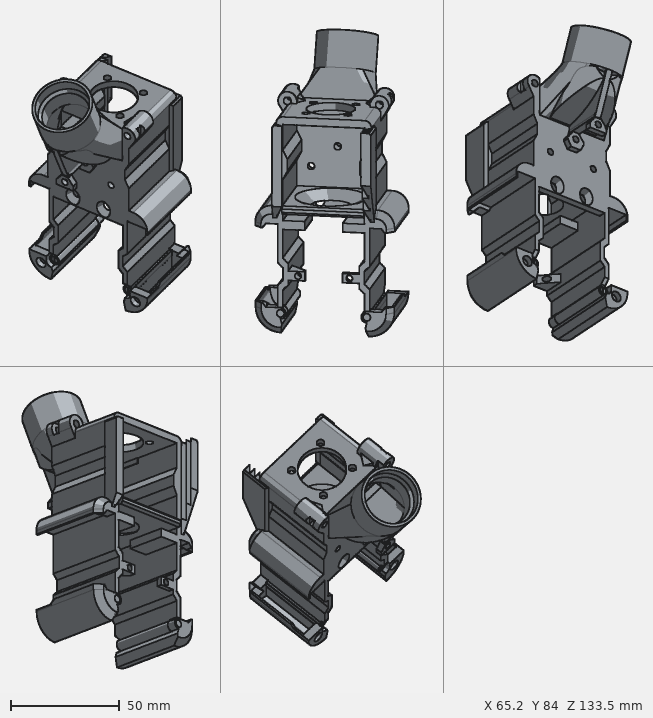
import cadquery as cq
import math

DEPTH = 40.0
TOP_Z = 103.5
SKIRT_Z = 50.0
SHOULDER_FLOOR = 53.6
PLATE = 3.6
UPPER_OUT = 22.3
LOWER_OUT = 21.5
INNER = 19.1
LOWER_JOG = 2.5
UPPER_JOG = 2.2
TOP_ROUND = UPPER_OUT - INNER
SHELL_BACK_CHAMFER = 3.3


def prism_y(points, y0, y1):
    """Extrude an outline of (x, z) points from y0 to y1."""
    return cq.Workplane("XZ", origin=(0, y0, 0)).polyline(points).close().extrude(y0 - y1)


def prism_x(points, x0, x1):
    """Extrude an outline of (y, z) points from x0 to x1."""
    return cq.Workplane("YZ", origin=(x0, 0, 0)).polyline(points).close().extrude(x1 - x0)


def prism_z(points, z0, z1):
    """Extrude an outline of (x, y) points from z0 to z1."""
    return cq.Workplane("XY", origin=(0, 0, z0)).polyline(points).close().extrude(z1 - z0)


def box(x0, x1, y0, y1, z0, z1):
    """Box between opposite corners."""
    return cq.Workplane("XY").box(x1 - x0, y1 - y0, z1 - z0, centered=False).translate((x0, y0, z0))


def rod_y(x, z, diameter, y0, y1):
    """Cylinder along Y."""
    return cq.Workplane("XZ", origin=(x, y0, z)).circle(diameter / 2).extrude(y0 - y1)


def mirrored(body):
    """Copy of a body on the opposite side in X."""
    return body.mirror("YZ")


LOWER_JOG_Z = 28.7
LOWER_FLAT_OUT, LOWER_FLAT_IN = 2.9, 5.2
LOWER_RUN = 2.5
UPPER_JOG_Z = 80.7
UPPER_FLAT = 2.75
UPPER_RUN = 4.3
HINGE_X, HINGE_Z = -20.2, 10.0
KNUCKLE_DIA = 5.2
PIN_DIA = 3.5
KNUCKLE_FRONT = 2.6
KNUCKLE_BACK = 35.5
DOOR_TOP_Z = 12.7
WALL_FOOT_Z = 12.9


def jogged_wall(out_x, jog, z0, z1, jog_z, outer_half, inner_half, run):
    """Wall strip; outer_half and inner_half are half heights of the flat of the jog on each face."""
    outer = [
        (-out_x, z0), (-out_x, jog_z - outer_half - run), (-out_x + jog, jog_z - outer_half),
        (-out_x + jog, jog_z + outer_half), (-out_x, jog_z + outer_half + run), (-out_x, z1),
    ]
    inner = [
        (-INNER, z1), (-INNER, jog_z + inner_half + run), (-INNER + jog, jog_z + inner_half),
        (-INNER + jog, jog_z - inner_half), (-INNER, jog_z - inner_half - run), (-INNER, z0),
    ]
    return prism_y(outer + inner, 0, DEPTH)


def lower_wall():
    wall = jogged_wall(LOWER_OUT, LOWER_JOG, WALL_FOOT_Z, SHOULDER_FLOOR, LOWER_JOG_Z,
                       LOWER_FLAT_OUT, LOWER_FLAT_IN, LOWER_RUN)
    nose = prism_x([(0, WALL_FOOT_Z), (KNUCKLE_FRONT, WALL_FOOT_Z), (0, WALL_FOOT_Z + KNUCKLE_FRONT)],
                   -LOWER_OUT, -INNER)
    return wall.cut(nose)


def knuckle():
    """Hinge barrel under the lower wall, with the web that carries it."""
    barrel = rod_y(HINGE_X, HINGE_Z, KNUCKLE_DIA, KNUCKLE_FRONT, KNUCKLE_BACK)
    web = box(-LOWER_OUT, -INNER, KNUCKLE_FRONT, KNUCKLE_BACK, HINGE_Z, WALL_FOOT_Z)
    return barrel.union(web)


def upper_wall():
    return jogged_wall(UPPER_OUT, UPPER_JOG, SHOULDER_FLOOR, TOP_Z, UPPER_JOG_Z,
                       UPPER_FLAT, UPPER_FLAT, UPPER_RUN)


SHELL_OUT = 32.6
LIP = 1.0
SHOULDER_R = 8.0
SHOULDER_TOP = 60.3
SHOULDER_LIP_Z = 50.4
LOCK_Y = 33.0
LOCK_INNER_X = 27.0
LOCK_BEVEL = 1.6
LOCK_STEP = 1.2


def shoulder():
    profile = (
        cq.Workplane("XZ").moveTo(-INNER, SHOULDER_LIP_Z).lineTo(-SHELL_OUT, SHOULDER_LIP_Z)
        .lineTo(-SHELL_OUT, SHOULDER_TOP - SHOULDER_R)
        .radiusArc((-SHELL_OUT + SHOULDER_R, SHOULDER_TOP), SHOULDER_R)
        .lineTo(-INNER, SHOULDER_TOP).close().extrude(-DEPTH)
    )
    back_rim = cq.selectors.BoxSelector((-SHELL_OUT - 1, DEPTH - 1, SHOULDER_LIP_Z + 1),
                                        (-SHELL_OUT + SHOULDER_R / 2, DEPTH + 1, SHOULDER_TOP))
    shell = profile.edges(back_rim).chamfer(SHELL_BACK_CHAMFER)
    underside = box(-SHELL_OUT + LIP, -LOWER_OUT, 0, DEPTH, SHOULDER_LIP_Z - 1, SHOULDER_FLOOR)
    lock = prism_y(
        [(-SHELL_OUT + LIP, SHOULDER_FLOOR), (-LOWER_OUT, SHOULDER_FLOOR),
         (-LOWER_OUT, SHOULDER_FLOOR - LOCK_STEP), (-LOCK_INNER_X, SHOULDER_FLOOR - LOCK_STEP),
         (-LOCK_INNER_X - LOCK_BEVEL, SHOULDER_LIP_Z), (-SHELL_OUT + LIP, SHOULDER_LIP_Z)], LOCK_Y, DEPTH)
    slope = prism_x([(LOCK_Y, SHOULDER_FLOOR), (DEPTH, SHOULDER_FLOOR), (DEPTH, SHOULDER_LIP_Z),
                     (DEPTH - SHELL_BACK_CHAMFER, SHOULDER_LIP_Z)], -SHELL_OUT, 0)
    return shell.cut(underside.cut(lock.intersect(slope)))


EAR_X, EAR_Z = -21.5, 104.6
EAR_R = 4.4
EAR_DEPTH = 15.0
EAR_HOLE = 3.5
EAR_INNER_X = -18.7
EAR_FOOT_Z = 97.3
NECK_ANGLE = 202
NUT_Y0, NUT_Y1 = 3.5, 6.6
NUT_WIDTH = 6.1
NUT_BEVEL = 1.2
GUSSET_REACH = 4.5
GUSSET_PEAK_Y = 8.5
GUSSET_HEIGHT = 3.5


def ear():
    round_part = rod_y(EAR_X, EAR_Z, 2 * EAR_R, 0, EAR_DEPTH)
    neck_angle = math.radians(NECK_ANGLE)
    neck = prism_y(
        [(EAR_X + EAR_R * math.cos(neck_angle), EAR_Z + EAR_R * math.sin(neck_angle)), (EAR_X, EAR_Z),
         (EAR_INNER_X, EAR_Z), (EAR_INNER_X, EAR_FOOT_Z), (-UPPER_OUT, EAR_FOOT_Z)], 0, EAR_DEPTH)
    beyond = box(EAR_INNER_X, EAR_INNER_X + EAR_R, 0, PLATE, EAR_FOOT_Z, EAR_Z + EAR_R)
    gusset = prism_y([(EAR_INNER_X, TOP_Z), (EAR_INNER_X + GUSSET_REACH, TOP_Z),
                      (EAR_INNER_X, TOP_Z + GUSSET_HEIGHT)], 0, EAR_DEPTH)
    plan = prism_z([(EAR_INNER_X, PLATE), (EAR_INNER_X + GUSSET_REACH, GUSSET_PEAK_Y),
                    (EAR_INNER_X, EAR_DEPTH)], TOP_Z, TOP_Z + GUSSET_HEIGHT)
    return round_part.union(neck).cut(beyond).union(gusset.intersect(plan))


def ear_cuts():
    hole = rod_y(EAR_X, EAR_Z, EAR_HOLE, 0, EAR_DEPTH)
    mouth_x = EAR_X - EAR_R
    low, high = EAR_Z - NUT_WIDTH / 2, EAR_Z + NUT_WIDTH / 2
    nut_corner = NUT_WIDTH / math.sqrt(3)
    slot = prism_y([(mouth_x, low), (EAR_X + nut_corner / 2, low), (EAR_X + nut_corner, EAR_Z),
                    (EAR_X + nut_corner / 2, high), (mouth_x, high)], NUT_Y0, NUT_Y1)
    bevel = prism_z([(mouth_x, NUT_Y1), (mouth_x + NUT_BEVEL, NUT_Y1), (mouth_x, NUT_Y1 + NUT_BEVEL)],
                    low, high)
    return hole.union(slot).union(bevel)


WING_OUT = 23.7
WING_START = 34.1
WING_TOP = 99.8
WING_FOOT_Y, WING_FOOT_Z = DEPTH, 55.4
LEFT_WING_BACK = 49.0
RIGHT_WING_BACK = 42.8
WING_KNEE_Z = 74.8
WING_SLOPE = (WING_KNEE_Z - WING_FOOT_Z) / (LEFT_WING_BACK - WING_FOOT_Y)
TOOTH_PITCH = 3.1
LEFT_TEETH, RIGHT_TEETH = 3, 1
WING_TOP_BEVEL = 0.9


def wing(back_y, teeth):
    """Plate on the -X side reaching back past the wall, with sawteeth on its inner face."""
    start_rise = WING_OUT - UPPER_OUT
    plan = prism_z([(-INNER, WING_START), (-UPPER_OUT, WING_START), (-WING_OUT, WING_START + start_rise),
                    (-WING_OUT, back_y), (-UPPER_OUT, back_y), (-UPPER_OUT, DEPTH), (-INNER, DEPTH)],
                   WING_FOOT_Z, WING_TOP)
    for i in range(teeth):
        tip_y = back_y - i * TOOTH_PITCH
        plan = plan.union(prism_z([(-UPPER_OUT, tip_y), (-INNER, tip_y), (-UPPER_OUT, tip_y - TOOTH_PITCH)],
                                  WING_FOOT_Z, WING_TOP))
    side = prism_x([(WING_START, WING_FOOT_Z), (WING_FOOT_Y, WING_FOOT_Z),
                    (back_y, WING_FOOT_Z + WING_SLOPE * (back_y - WING_FOOT_Y)),
                    (back_y, WING_TOP), (WING_START, WING_TOP)], -WING_OUT, 0)
    bevel = prism_y([(-WING_OUT, WING_TOP), (-WING_OUT, WING_TOP - WING_TOP_BEVEL),
                     (-WING_OUT + WING_TOP_BEVEL, WING_TOP)], 0, back_y)
    return plan.intersect(side).cut(bevel)


TILT = math.radians(22.5)
SOCKET_OUT, SOCKET_BORE, SOCKET_STEP = 28.5, 25.5, 22.5
SOCKET_LENGTH = 17.5
SOCKET_BORE_DEPTH = 6.3
SOCKET_BASE = cq.Vector(0, -15.13, 111.87)
SOCKET_AXIS = cq.Vector(0, -math.sin(TILT), math.cos(TILT))
SOCKET_SIDE = cq.Vector(0, -math.cos(TILT), -math.sin(TILT))
MOUTH_HALF = 18.7
MOUTH_LOW_Z = 88.6
BELLY_DIA = 28.0
BELLY_MIDDLE = (-16.5, 94.6)
BELLY_DROP = 4.3
DUCT_WALL = 1.6


def socket_rod(diameter, start, length):
    base = SOCKET_BASE + SOCKET_AXIS * start
    return cq.Workplane(obj=cq.Solid.makeCylinder(diameter / 2, length, base, SOCKET_AXIS))


def socket_wire(diameter):
    """Circle at the socket base as four arcs, one for each side of the mouth."""
    def point(angle):
        a = math.radians(angle)
        return SOCKET_BASE + cq.Vector(1, 0, 0) * (diameter / 2 * math.cos(a)) \
            + SOCKET_SIDE * (diameter / 2 * math.sin(a))
    arcs = [cq.Edge.makeThreePointArc(point(a), point(a + 45), point(a + 90)) for a in (45, 135, 225, 315)]
    return cq.Wire.assembleEdges(arcs)


def duct_loft(diameter, half, low, high):
    """Duct from the socket to a mouth whose lower and upper edges lie at (y, z) = low and high."""
    corners = [cq.Vector(half, *low), cq.Vector(-half, *low), cq.Vector(-half, *high), cq.Vector(half, *high)]
    mouth = cq.Wire.makePolygon(corners, close=True)
    return cq.Workplane(obj=cq.Solid.makeLoft([mouth, socket_wire(diameter)], True))


LUG_HOLE_Z = 81.0
LUG_HOLE = 3.25
LUG_HALF = 4.7
LUG_TOP_Z = 84.6
LUG_SHOULDER_Z = 80.6
LUG_FOOT_Z = 77.8
WALL_LUG_SIDE_Z = 79.7
WALL_LUG_FOOT_Z = 76.2
WALL_LUG_FOOT_HALF = 2.7
LUG_THICK = 3.0
WEB_HALF = 1.6
LUG_FRONT = -19.8
FLANGE_HALF = 2.1
FLANGE_TOP_Z = 86.7


def lug(y0, y1, foot):
    half = [(WEB_HALF, LUG_TOP_Z), (LUG_HALF, LUG_SHOULDER_Z)] + foot
    return prism_y(half + [(-x, z) for x, z in reversed(half)], y0, y1)


def belly():
    """Rounded underside that runs from the mouth to the socket."""
    tip = SOCKET_BASE + SOCKET_SIDE * (BELLY_DIA / 2) - SOCKET_AXIS * BELLY_DROP
    side = (
        cq.Workplane("YZ", origin=(-MOUTH_HALF, 0, 0)).moveTo(0, MOUTH_LOW_Z + 0.3)
        .threePointArc(BELLY_MIDDLE, (tip.y, tip.z)).lineTo(tip.y, SOCKET_BASE.z)
        .lineTo(0, SOCKET_BASE.z).close().extrude(2 * MOUTH_HALF)
    )
    reach = 2 * SOCKET_OUT
    return socket_rod(BELLY_DIA, -reach, reach).intersect(side)


def duct_outside():
    tube = duct_loft(SOCKET_OUT, MOUTH_HALF, (0, MOUTH_LOW_Z), (PLATE, TOP_Z))
    underside = SOCKET_BASE + SOCKET_SIDE * (SOCKET_OUT / 2)
    web_tip_y = underside.y + (underside.z - LUG_TOP_Z) * math.tan(TILT)
    web = prism_x([(0, LUG_TOP_Z), (web_tip_y, LUG_TOP_Z), (underside.y, underside.z),
                   (SOCKET_BASE.y, SOCKET_BASE.z), (0, MOUTH_LOW_Z + 1)],
                  -WEB_HALF, WEB_HALF)
    wall_lug = lug(-LUG_THICK, 0, [(LUG_HALF, WALL_LUG_SIDE_Z), (WALL_LUG_FOOT_HALF, WALL_LUG_FOOT_Z)])
    end_lug = lug(LUG_FRONT, LUG_FRONT + LUG_THICK, [(LUG_HALF, LUG_FOOT_Z)])
    flange = prism_y([(WEB_HALF, FLANGE_TOP_Z), (FLANGE_HALF, LUG_TOP_Z), (-FLANGE_HALF, LUG_TOP_Z),
                      (-WEB_HALF, FLANGE_TOP_Z)], web_tip_y, 0)
    duct = tube.union(socket_rod(SOCKET_OUT, 0, SOCKET_LENGTH)).union(belly())
    for piece in (web, flange, wall_lug, end_lug):
        duct = duct.union(piece)
    return duct


def duct_inside():
    low_z = MOUTH_LOW_Z + DUCT_WALL
    high_z = TOP_Z - PLATE
    channel = duct_loft(SOCKET_STEP, MOUTH_HALF - DUCT_WALL, (0, low_z), (PLATE, high_z))
    opening = prism_x([(0, low_z), (PLATE, high_z), (PLATE + 1, high_z), (PLATE + 1, low_z)],
                      -MOUTH_HALF + DUCT_WALL, MOUTH_HALF - DUCT_WALL)
    bore = socket_rod(SOCKET_BORE, SOCKET_LENGTH - SOCKET_BORE_DEPTH, SOCKET_BORE_DEPTH)
    seat_height = (SOCKET_BORE - SOCKET_STEP) / 2
    seat_base = SOCKET_BASE + SOCKET_AXIS * (SOCKET_LENGTH - SOCKET_BORE_DEPTH - seat_height)
    seat = cq.Solid.makeCone(SOCKET_STEP / 2, SOCKET_BORE / 2, seat_height, seat_base, SOCKET_AXIS)
    throat = socket_rod(SOCKET_STEP, 0, SOCKET_LENGTH)
    return channel.union(opening).union(throat).union(cq.Workplane(obj=seat)).union(bore)


def mouth_clearance():
    """Front plate material in front of the slanted duct mouth."""
    return prism_x([(0, MOUTH_LOW_Z), (PLATE, TOP_Z), (0, TOP_Z)], -MOUTH_HALF, MOUTH_HALF)


BORE_Y = 21.4
TOP_BORE = 22.5
TOP_SCREW = 3.5
TOP_SCREW_SPACING = 19.8
FRONT_SCREW_X, FRONT_SCREW_Z, FRONT_SCREW = 12.5, 71.1, 3.2
PORT_X, PORT_Z = 8.4, 54.8
PORT_FRONT = (3.7, 4.4)
PORT_BACK = (2.2, 2.6)
FUNNEL_LOW_Z, FUNNEL_TOP_Z = 57.5, 61.5
FUNNEL_BORE, FUNNEL_MOUTH = 18.5, 33.0
FUNNEL_BACK = 42.4
RAIL_INNER, RAIL_TOP_Z = 8.9, 54.2


def top_holes():
    holes = cq.Workplane("XY", origin=(0, BORE_Y, TOP_Z - PLATE)).circle(TOP_BORE / 2).extrude(PLATE)
    screws = (
        cq.Workplane("XY", origin=(0, BORE_Y, TOP_Z - PLATE))
        .rect(TOP_SCREW_SPACING, TOP_SCREW_SPACING, forConstruction=True).vertices()
        .circle(TOP_SCREW / 2).extrude(PLATE)
    )
    return holes.union(screws)


def port(x):
    """Tapered oval opening through the front plate."""
    return (
        cq.Workplane("XZ", origin=(x, 0, PORT_Z)).ellipse(*PORT_FRONT)
        .workplane(offset=-PLATE).ellipse(*PORT_BACK).loft()
    )


def funnel():
    """Shelf between the side walls with a conical opening under the top bore."""
    shelf = box(-INNER, INNER, PLATE, FUNNEL_BACK, FUNNEL_LOW_Z, FUNNEL_TOP_Z)
    bevel = FUNNEL_BACK - DEPTH
    shelf = shelf.edges(">Y and |X").chamfer(bevel / 2)
    cone = cq.Solid.makeCone(FUNNEL_BORE / 2, FUNNEL_MOUTH / 2, FUNNEL_TOP_Z - FUNNEL_LOW_Z,
                             cq.Vector(0, BORE_Y, FUNNEL_LOW_Z))
    return shelf.cut(cq.Workplane(obj=cone))


TAB_TIP = 8.8
TAB_ROOT = INNER - LOWER_JOG
TAB_LOW_Z, TAB_HIGH_Z = 25.9, 30.3
TAB_MIDDLE_Z = (TAB_LOW_Z + TAB_HIGH_Z) / 2
TAB_THICK = 2.5
TAB_SLANT = 8.0
TAB_HOLE_X, TAB_HOLE = 12.0, 2.9


def left_tab():
    tab = box(-TAB_ROOT, -TAB_TIP, DEPTH - TAB_THICK, DEPTH, TAB_LOW_Z, TAB_HIGH_Z)
    return tab.cut(rod_y(-TAB_HOLE_X, TAB_MIDDLE_Z, TAB_HOLE, 0, DEPTH))


def right_tab():
    """Triangular bracket whose front face slants back toward its tip."""
    tab = prism_z([(TAB_ROOT, DEPTH), (TAB_TIP, DEPTH), (TAB_TIP, DEPTH - TAB_THICK),
                   (TAB_ROOT, DEPTH - TAB_THICK - TAB_SLANT)], TAB_LOW_Z, TAB_HIGH_Z)
    return tab.cut(rod_y(TAB_HOLE_X, TAB_MIDDLE_Z, TAB_HOLE, 0, DEPTH))


def build_housing():
    body = box(-INNER, INNER, 0, PLATE, SKIRT_Z, TOP_Z)
    body = body.union(box(-UPPER_OUT, UPPER_OUT, 0, DEPTH, TOP_Z - PLATE, TOP_Z))
    for wall in (upper_wall(), lower_wall()):
        body = body.union(wall).union(mirrored(wall))
    body = body.edges("|Y and >Z").edges("<X or >X").fillet(TOP_ROUND)
    body = body.cut(mouth_clearance())
    rail = box(-INNER, -RAIL_INNER, DEPTH / 2, DEPTH, SKIRT_Z, RAIL_TOP_Z)
    for piece in (shoulder(), ear(), knuckle(), rail):
        body = body.union(piece).union(mirrored(piece))
    body = body.union(wing(LEFT_WING_BACK, LEFT_TEETH)).union(mirrored(wing(RIGHT_WING_BACK, RIGHT_TEETH)))
    body = body.union(funnel()).union(left_tab()).union(right_tab())
    body = body.union(duct_outside()).cut(duct_inside())
    body = body.cut(rod_y(0, LUG_HOLE_Z, LUG_HOLE, LUG_FRONT, PLATE)).cut(top_holes())
    hinge_hole = rod_y(HINGE_X, HINGE_Z, PIN_DIA, 0, DEPTH)
    for hole in (ear_cuts(), hinge_hole, port(-PORT_X),
                 rod_y(-FRONT_SCREW_X, FRONT_SCREW_Z, FRONT_SCREW, 0, PLATE)):
        body = body.cut(hole).cut(mirrored(hole))
    return body


DOOR_R = 12.0
DOOR_CENTRE_X, DOOR_CENTRE_Z = -20.5, 12.0
DOOR_OUT = DOOR_CENTRE_X - DOOR_R
DOOR_INNER_CORNER = (-19.5, 4.9)
DOOR_LIP_Z = 14.7
DOOR_LIP_START = 11.0
DOOR_HOLE_X, DOOR_HOLE_Z, DOOR_HOLE, DOOR_HOLE_DEPTH = -25.9, 7.6, 5.2, 3.0
POCKET_FRONT, POCKET_BACK, POCKET_INNER_X = 4.0, 35.0, -23.0
HINGE_GAP = 0.15


def build_door():
    arc_end = (DOOR_CENTRE_X, DOOR_CENTRE_Z - DOOR_R)
    blank = (
        cq.Workplane("XZ").moveTo(HINGE_X, DOOR_TOP_Z).lineTo(DOOR_OUT, DOOR_TOP_Z)
        .lineTo(DOOR_OUT, DOOR_CENTRE_Z).radiusArc(arc_end, -DOOR_R)
        .lineTo(*DOOR_INNER_CORNER).lineTo(HINGE_X, HINGE_Z - KNUCKLE_DIA / 2).close().extrude(-DEPTH)
    )
    back_rim = cq.selectors.BoxSelector((DOOR_OUT - 1, DEPTH - 1, -1),
                                        (DOOR_CENTRE_X - DOOR_R / 5, DEPTH + 1, DOOR_TOP_Z - 0.1))
    door = blank.edges(back_rim).chamfer(SHELL_BACK_CHAMFER)
    door = door.union(rod_y(HINGE_X, HINGE_Z, KNUCKLE_DIA, KNUCKLE_BACK, DEPTH))
    rise = DOOR_LIP_Z - DOOR_TOP_Z
    lip = prism_x([(DOOR_LIP_START - rise, DOOR_TOP_Z), (DOOR_LIP_START, DOOR_LIP_Z),
                   (DEPTH - SHELL_BACK_CHAMFER, DOOR_LIP_Z), (DEPTH - SHELL_BACK_CHAMFER, DOOR_TOP_Z)],
                  DOOR_OUT, DOOR_OUT + LIP)
    lock = prism_y([(DOOR_OUT, DOOR_TOP_Z), (DOOR_OUT, DOOR_LIP_Z), (-LOCK_INNER_X - LOCK_BEVEL, DOOR_LIP_Z),
                    (-LOCK_INNER_X, DOOR_TOP_Z)], LOCK_Y, DEPTH)
    lock_slope = prism_x([(LOCK_Y, DOOR_TOP_Z), (DEPTH - SHELL_BACK_CHAMFER, DOOR_LIP_Z), (DEPTH, DOOR_LIP_Z),
                          (DEPTH, DOOR_TOP_Z)], DOOR_OUT, 0)
    lock_plan = prism_z([(DOOR_OUT, 0), (0, 0), (0, DEPTH), (DOOR_OUT + SHELL_BACK_CHAMFER, DEPTH),
                         (DOOR_OUT, DEPTH - SHELL_BACK_CHAMFER)], DOOR_TOP_Z, DOOR_LIP_Z)
    door = door.union(lip).union(lock.intersect(lock_slope).intersect(lock_plan))
    inside = cq.Workplane("XZ", origin=(DOOR_CENTRE_X, POCKET_FRONT, DOOR_CENTRE_Z)) \
        .circle(DOOR_R - LIP).extrude(POCKET_FRONT - POCKET_BACK)
    pocket = inside.union(box(DOOR_OUT + LIP, POCKET_INNER_X, POCKET_FRONT, POCKET_BACK,
                              DOOR_CENTRE_Z, DOOR_TOP_Z))
    pocket = pocket.intersect(box(DOOR_OUT, POCKET_INNER_X, 0, DEPTH, 0, DOOR_TOP_Z))
    clear_r = KNUCKLE_DIA / 2 + HINGE_GAP
    clearance = rod_y(HINGE_X, HINGE_Z, 2 * clear_r, 0, KNUCKLE_BACK)
    clearance = clearance.union(box(HINGE_X - clear_r, 0, 0, KNUCKLE_BACK, HINGE_Z, DOOR_TOP_Z))
    return (
        door.cut(pocket).cut(clearance).cut(rod_y(HINGE_X, HINGE_Z, PIN_DIA, 0, DEPTH))
        .cut(rod_y(DOOR_HOLE_X, DOOR_HOLE_Z, DOOR_HOLE, 0, DOOR_HOLE_DEPTH))
    )


PIN_SLOT_WIDTH = 0.3
PIN_SLOT_DEPTH = 0.6


def build_pin():
    pin = rod_y(HINGE_X, HINGE_Z, PIN_DIA, KNUCKLE_FRONT, DEPTH)
    slot = box(HINGE_X - PIN_SLOT_WIDTH / 2, HINGE_X + PIN_SLOT_WIDTH / 2, KNUCKLE_FRONT,
               KNUCKLE_FRONT + PIN_SLOT_DEPTH, HINGE_Z - PIN_DIA, HINGE_Z + PIN_DIA)
    return pin.cut(slot)


housing = build_housing()
doors = [build_door(), mirrored(build_door())]
pins = [build_pin(), mirrored(build_pin())]

result = cq.Compound.makeCompound([housing.val()] + [body.val() for body in doors + pins])